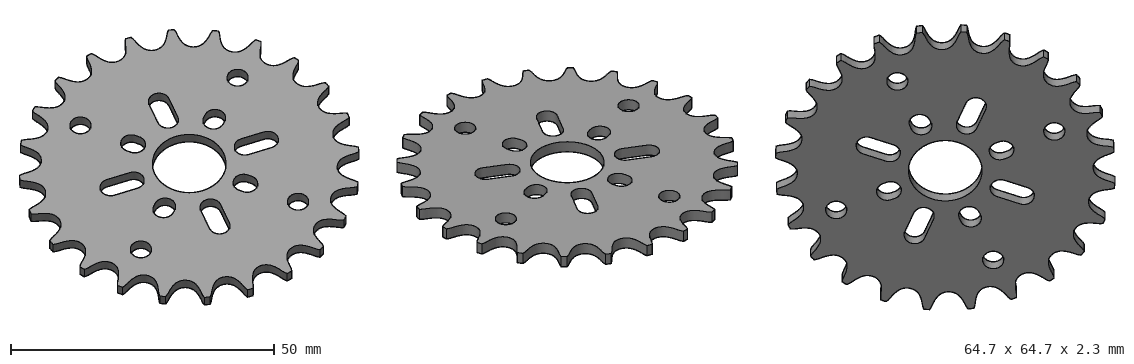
import cadquery as cq
import math

tooth_count = 24
outer_radius = 32.35
pitch_radius = 30.7
thickness = 2.3
tooth_angle = 360 / tooth_count

seat_radius = 2.6
seat_end_angle = 37.5
flank_radius = 6.55
flank_end_angle = 21.8
straight_length = 0.65
tip_radius = 4.1
tip_end_angle = 48.0

bore_diameter = 14.0
hole_diameter = 4.0
grid = 16.0
inner_reach = grid / math.sqrt(2)
short_slot_reach = 12.05


def arc_points(start, radius, start_angle, end_angle):
    """Middle and end of an arc that leaves start along start_angle and ends along end_angle."""
    side = math.copysign(radius, end_angle - start_angle)

    def point_at(angle):
        first = math.radians(start_angle)
        last = math.radians(angle)
        return (
            start[0] + side * (math.sin(last) - math.sin(first)),
            start[1] + side * (math.cos(first) - math.cos(last)),
        )

    return point_at((start_angle + end_angle) / 2), point_at(end_angle)


def mirrored(point):
    """The same point on the other side of the gap centreline."""
    return point[0], -point[1]


def gap_cutter():
    """Gap between two teeth, centred on +X: a seat arc, then matching flanks out past the rim."""
    root = (pitch_radius - seat_radius, 0)
    _, seat_end = arc_points(root, seat_radius, 90, seat_end_angle)
    flank_middle, flank_end = arc_points(seat_end, flank_radius, seat_end_angle, flank_end_angle)
    slope = math.radians(flank_end_angle)
    straight_end = (
        flank_end[0] + straight_length * math.cos(slope),
        flank_end[1] + straight_length * math.sin(slope),
    )
    tip_middle, tip_end = arc_points(straight_end, tip_radius, flank_end_angle, tip_end_angle)
    return (
        cq.Workplane("XY")
        .moveTo(*mirrored(tip_end))
        .threePointArc(mirrored(tip_middle), mirrored(straight_end))
        .lineTo(*mirrored(flank_end))
        .threePointArc(mirrored(flank_middle), mirrored(seat_end))
        .threePointArc(root, seat_end)
        .threePointArc(flank_middle, flank_end)
        .lineTo(*straight_end)
        .threePointArc(tip_middle, tip_end)
        .close()
        .extrude(thickness)
    )


def toothed_disc():
    """Disc with evenly spaced teeth, one of them on +X."""
    disc = cq.Workplane("XY").circle(outer_radius).extrude(thickness)
    gap = gap_cutter()
    for i in range(tooth_count):
        disc = disc.cut(gap.rotate((0, 0, 0), (0, 0, 1), (i + 0.5) * tooth_angle))
    return disc


def radial_slot(angle, inner, outer):
    """Slot along a radius, given the centre distances of its two round ends."""
    return (
        cq.Workplane("XY")
        .center((inner + outer) / 2, 0)
        .slot2D(outer - inner + hole_diameter, hole_diameter)
        .extrude(thickness)
        .rotate((0, 0, 0), (0, 0, 1), angle)
    )


result = toothed_disc()
result = result.cut(cq.Workplane("XY").circle(bore_diameter / 2).extrude(thickness))
result = result.cut(
    cq.Workplane("XY")
    .rect(2 * grid, 2 * grid, forConstruction=True)
    .vertices()
    .circle(hole_diameter / 2)
    .extrude(thickness)
)
for quarter in range(4):
    result = result.cut(radial_slot(90 * quarter, inner_reach, grid))
    result = result.cut(radial_slot(90 * quarter + 45, inner_reach, short_slot_reach))